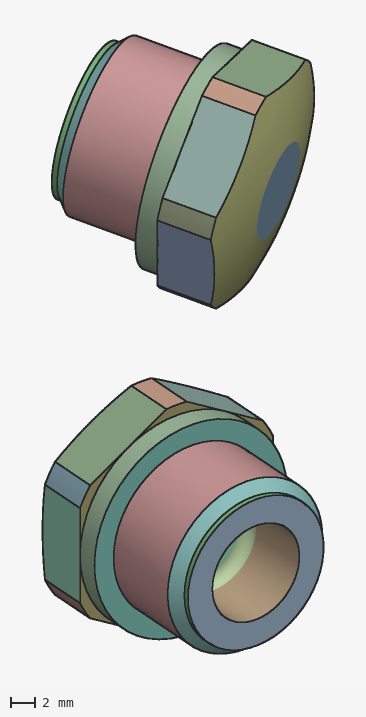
import cadquery as cq
import math

lip_length = 0.5
chamfer_size = 1.0
ring_start = 9.0
head_start = 11.0
dome_edge_x = 15.88
total_length = 17.5

lip_radius = 7.04
shank_radius = lip_radius + chamfer_size
across_flats = 20.0
corner_radius = 11.0
end_face_radius = 4.33
ring_radius = across_flats / 2
bore_radius = 4.5
bore_fillet = 1.0
bore_depth = 7.0


def make_turned_blank():
    """Shank, lip, chamfer and head with a truncated spherical dome, revolved about the X axis."""
    dome_length = total_length - dome_edge_x
    centre_x = (dome_edge_x + total_length) / 2 - (corner_radius**2 - end_face_radius**2) / (2 * dome_length)
    sphere_radius = math.hypot(dome_edge_x - centre_x, corner_radius)
    middle_radius = (corner_radius + end_face_radius) / 2
    dome_middle = (centre_x + math.sqrt(sphere_radius**2 - middle_radius**2), middle_radius)
    profile = (
        cq.Workplane("XY")
        .lineTo(0, lip_radius)
        .lineTo(lip_length, lip_radius)
        .lineTo(lip_length + chamfer_size, shank_radius)
        .lineTo(head_start, shank_radius)
        .lineTo(head_start, corner_radius)
        .lineTo(dome_edge_x, corner_radius)
        .threePointArc(dome_middle, (total_length, end_face_radius))
        .lineTo(total_length, 0)
        .close()
    )
    return profile.revolve(360, (0, 0, 0), (1, 0, 0))


def make_hexagon():
    """Hexagonal prism along X, with two corners pointing along Z."""
    across_corners = across_flats / math.cos(math.pi / 6)
    return (
        cq.Workplane("YZ")
        .transformed(rotate=(0, 0, 90))
        .polygon(6, across_corners)
        .extrude(total_length)
    )


def make_bore():
    """Blind bore with a rounded bottom edge."""
    return (
        cq.Workplane("YZ")
        .circle(bore_radius)
        .extrude(bore_depth)
        .faces(">X")
        .edges()
        .fillet(bore_fillet)
    )


def make_plug():
    return make_turned_blank().intersect(make_hexagon()).cut(make_bore())


def make_sealing_ring():
    """Flat ring on the shank, clamped against the head."""
    return (
        cq.Workplane("YZ", origin=(ring_start, 0, 0))
        .circle(ring_radius)
        .circle(shank_radius)
        .extrude(head_start - ring_start)
    )


plug = make_plug()
sealing_ring = make_sealing_ring()

result = cq.Compound.makeCompound([plug.val(), sealing_ring.val()])